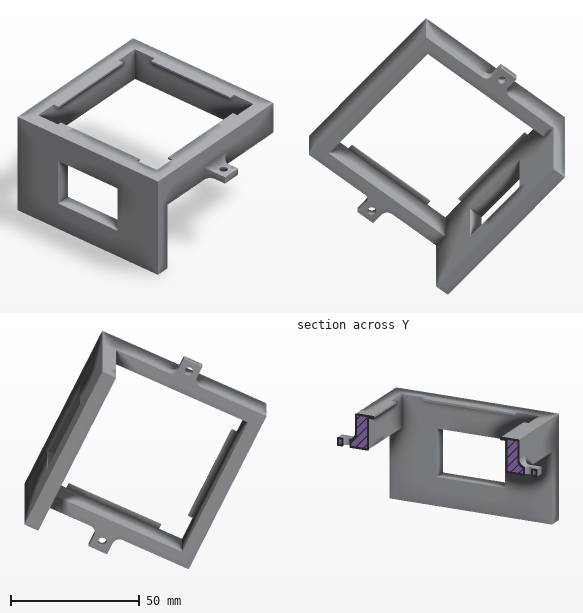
import cadquery as cq

frame_size = 71.0
frame_height = 14.0
side_wall = 5.5
back_wall = 5.5
front_wall = 6.0

panel_drop = 30.0
window_width = 30.0
window_height = 20.0
window_below_top = 12.0

lip_opening = 55.6
lip_length = 40.0
lip_thickness = 0.8

tab_length = 8.0
tab_width = 8.0
tab_thickness = 3.0
tab_fillet = 3.0
tab_hole_diameter = 3.3

half_size = frame_size / 2
opening_left = -half_size + side_wall
opening_right = half_size - side_wall
opening_front = -half_size + front_wall
opening_back = half_size - back_wall
window_top = frame_height - window_below_top

full_span = (-half_size, half_size)
frame_z = (0, frame_height)
front_wall_y = (-half_size, opening_front)


def box(x_range, y_range, z_range):
    """Axis-aligned block spanning the given (low, high) ranges."""
    lows, highs = zip(x_range, y_range, z_range)
    sizes = [high - low for low, high in zip(lows, highs)]
    return cq.Workplane("XY").box(*sizes, centered=False).translate(lows)


def make_frame():
    outer = box(full_span, full_span, frame_z)
    opening = box((opening_left, opening_right), (opening_front, opening_back), frame_z)
    return outer.cut(opening)


def make_panel():
    return box(full_span, front_wall_y, (-panel_drop, 0))


def make_window():
    window_x = (-window_width / 2, window_width / 2)
    return box(window_x, front_wall_y, (window_top - window_height, window_top))


def make_lips():
    along = (-lip_length / 2, lip_length / 2)
    inner = lip_opening / 2
    lip_z = (frame_height - lip_thickness, frame_height)
    left = box((opening_left, -inner), along, lip_z)
    right = box((inner, opening_right), along, lip_z)
    front = box(along, (opening_front, -inner), lip_z)
    back = box(along, (inner, opening_back), lip_z)
    return [left, right, front, back]


def make_tab(side):
    """Tab on one X wall (side is -1 or +1), blended into the wall on its top and both flanks."""
    wall = box((-side_wall, 0), full_span, frame_z)
    plate = box((0, tab_length), (-tab_width / 2, tab_width / 2), (0, tab_thickness))

    margin = tab_thickness / 10
    root_edges = cq.selectors.BoxSelector(
        (-margin, -tab_width, margin),
        (margin, tab_width, tab_thickness + margin),
    )
    blended = wall.union(plate).edges(root_edges).fillet(tab_fillet)

    tab = blended.intersect(box((0, tab_length), full_span, frame_z))
    hole_outline = cq.Workplane("XY").center(tab_length / 2, 0).circle(tab_hole_diameter / 2)
    tab = tab.cut(hole_outline.extrude(frame_height))

    if side < 0:
        tab = tab.mirror("YZ")
    return tab.translate((side * half_size, 0, 0))


result = make_frame().union(make_panel()).cut(make_window())
for lip in make_lips():
    result = result.union(lip)
for side in (-1, 1):
    result = result.union(make_tab(side))